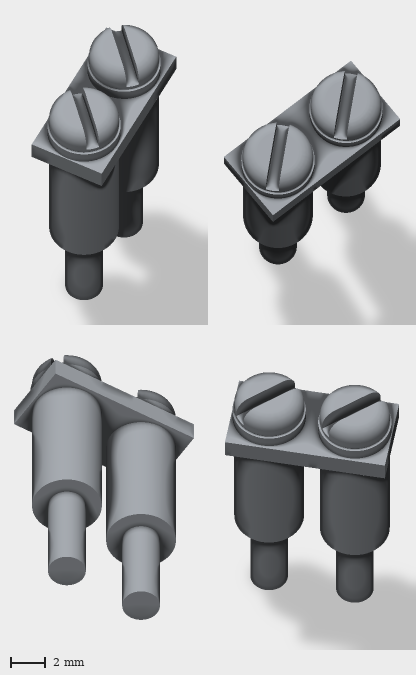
import cadquery as cq

PLATE_WIDTH = 4.5
PLATE_LENGTH = 9.3
PLATE_THICKNESS = 1.2
SCREW_PITCH = 4.98

SCREW_LENGTH = 17.0
SHANK_DIAMETER = 2.16
HEAD_DIAMETER = 4.0
HEAD_HEIGHT = 1.41
TOP_ROUNDING = 0.8
BOTTOM_ROUNDING = 0.1
SLOT_WIDTH = 0.75
SLOT_DEPTH = 1.1
SLOT_ANGLE = -48.0

COLLAR_DIAMETER = 4.2
COLLAR_HEIGHT = 0.7
SLEEVE_DIAMETER = 4.0
SLEEVE_LENGTH = 8.0

HEAD_BOTTOM = SCREW_LENGTH - HEAD_HEIGHT
PLATE_TOP = HEAD_BOTTOM - COLLAR_HEIGHT
PLATE_BOTTOM = PLATE_TOP - PLATE_THICKNESS
SLEEVE_BOTTOM = PLATE_BOTTOM - SLEEVE_LENGTH

SCREW_POSITIONS = [(0, -SCREW_PITCH / 2), (0, SCREW_PITCH / 2)]


def cylinder(diameter, bottom, top):
    """Upright cylinder on the Z axis between two levels."""
    return cq.Workplane("XY").workplane(offset=bottom).circle(diameter / 2).extrude(top - bottom)


def ring(diameter, bottom, top):
    """Cylinder with a through bore that fits the screw shank."""
    return cylinder(diameter, bottom, top).cut(cylinder(SHANK_DIAMETER, bottom, top))


def make_plate():
    """Rectangular plate with one shank hole per screw."""
    return (
        cq.Workplane("XY")
        .workplane(offset=PLATE_BOTTOM)
        .rect(PLATE_WIDTH, PLATE_LENGTH)
        .pushPoints(SCREW_POSITIONS)
        .circle(SHANK_DIAMETER / 2)
        .extrude(PLATE_THICKNESS)
    )


def make_screw():
    """Slotted screw whose rounded head rests on the collar."""
    head = cylinder(HEAD_DIAMETER, HEAD_BOTTOM, SCREW_LENGTH)
    head = head.faces(">Z").edges().fillet(TOP_ROUNDING)
    head = head.faces("<Z").edges().fillet(BOTTOM_ROUNDING)
    slot = (
        cq.Workplane("XY")
        .workplane(offset=SCREW_LENGTH - SLOT_DEPTH)
        .transformed(rotate=(0, 0, SLOT_ANGLE))
        .rect(2 * HEAD_DIAMETER, SLOT_WIDTH)
        .extrude(SLOT_DEPTH)
    )
    shank = cylinder(SHANK_DIAMETER, 0, HEAD_BOTTOM)
    return head.cut(slot).union(shank)


def make_collar():
    """Plain ring between the plate and the screw head."""
    return ring(COLLAR_DIAMETER, PLATE_TOP, HEAD_BOTTOM)


def make_sleeve():
    """Long spacer tube under the plate."""
    return ring(SLEEVE_DIAMETER, SLEEVE_BOTTOM, PLATE_BOTTOM)


plate = make_plate()
bodies = [plate.val()]
for x, y in SCREW_POSITIONS:
    for make_body in (make_screw, make_collar, make_sleeve):
        bodies.append(make_body().translate((x, y, 0)).val())

result = cq.Compound.makeCompound(bodies)